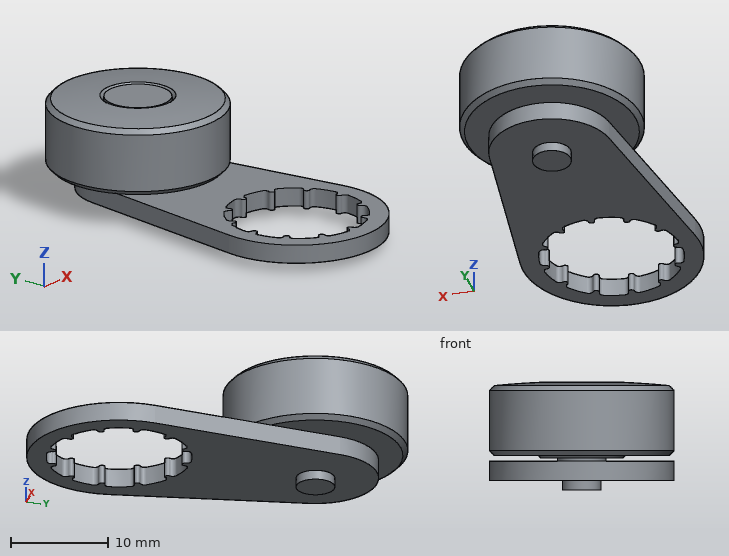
import cadquery as cq
import math

overall_length = 39.8
large_end_diameter = 19.0
large_end_radius = large_end_diameter / 2
center_distance = overall_length - large_end_diameter
small_end_radius = 6.5
plate_bottom = 1.0
plate_thickness = 2.0
plate_top = plate_bottom + plate_thickness

opening_radius = 7.5
lug_count = 12
lug_width = 0.65
lug_tip_radius = 6.7
lug_root_fillet = 0.48

knob_radius = large_end_radius
knob_chamfer = 0.5
knob_bottom = 3.55
knob_rim_top = 10.75
knob_top = 11.1
mouth_radius = 3.9
mouth_depth = 0.35
boss_radius = 4.2
boss_height = 0.25
boss_bottom = knob_bottom - boss_height

head_radius = 3.5
head_clearance = 0.048
head_height = 2.0
head_recess = 0.08
shank_radius = 2.5
tail_radius = 2.0

head_top = knob_top - head_recess
head_bottom = head_top - head_height


def cylinder(radius, bottom, top):
    """Upright cylinder on the pin axis."""
    return cq.Workplane("XY", origin=(0, 0, bottom)).circle(radius).extrude(top - bottom)


def make_lever_blank():
    """Two end circles joined by their common tangents, with the pin axis at the origin."""
    tangent_sine = (large_end_radius - small_end_radius) / center_distance
    tangent_cosine = math.sqrt(1 - tangent_sine**2)
    small_x = small_end_radius * tangent_cosine
    small_y = small_end_radius * tangent_sine
    large_x = large_end_radius * tangent_cosine
    large_y = large_end_radius * tangent_sine - center_distance
    return (
        cq.Workplane("XY", origin=(0, 0, plate_bottom))
        .moveTo(-small_x, small_y)
        .threePointArc((0, small_end_radius), (small_x, small_y))
        .lineTo(large_x, large_y)
        .threePointArc((0, -center_distance - large_end_radius), (-large_x, large_y))
        .close()
        .extrude(plate_thickness)
    )


def make_lug():
    """Lug on the +X side of the opening: a radial bar with a rounded inner tip."""
    tip_center = lug_tip_radius + lug_width / 2
    bar_length = opening_radius + lug_width - tip_center
    base = cq.Workplane("XY", origin=(0, 0, plate_bottom))
    bar = base.center(tip_center + bar_length / 2, 0).rect(bar_length, lug_width).extrude(plate_thickness)
    tip = base.center(tip_center, 0).circle(lug_width / 2).extrude(plate_thickness)
    return bar.union(tip)


def make_opening():
    """Cutter for the splined opening: a disc notched by the lugs, rounded beside each lug root."""
    opening = cylinder(opening_radius, plate_bottom, plate_top)
    lug = make_lug()
    for index in range(lug_count):
        opening = opening.cut(lug.rotate((0, 0, 0), (0, 0, 1), index * 360 / lug_count))
    root_limit = opening_radius - lug_width / 2

    def is_lug_root(edge):
        return math.hypot(edge.Center().x, edge.Center().y) > root_limit

    root_edges = opening.edges("|Z").filter(is_lug_root)
    return root_edges.fillet(lug_root_fillet).translate((0, -center_distance, 0))


def make_plate():
    """Lever with the splined opening and a hole that fits the pin tail."""
    tail_hole = cylinder(tail_radius, plate_bottom, plate_top)
    return make_lever_blank().cut(make_opening()).cut(tail_hole)


def make_knob():
    """Turned knob with a stepped bore that clears the pin head and flares at the mouth."""
    rim_radius = knob_radius - knob_chamfer
    dome_radius = (rim_radius**2 - mouth_radius**2) / (2 * (knob_top - knob_rim_top))
    bore_edge = knob_top - mouth_depth
    bore_radius = head_radius + head_clearance
    return (
        cq.Workplane("XZ")
        .moveTo(shank_radius, boss_bottom)
        .lineTo(boss_radius, boss_bottom)
        .lineTo(boss_radius + boss_height, knob_bottom)
        .lineTo(rim_radius, knob_bottom)
        .lineTo(knob_radius, knob_bottom + knob_chamfer)
        .lineTo(knob_radius, knob_rim_top - knob_chamfer)
        .lineTo(rim_radius, knob_rim_top)
        .radiusArc((mouth_radius, knob_top), -dome_radius)
        .lineTo(bore_radius, bore_edge)
        .lineTo(bore_radius, head_bottom)
        .lineTo(shank_radius, head_bottom)
        .close()
        .revolve(360, (0, 0, 0), (0, 1, 0))
    )


def make_pin():
    """Headed pin: tail through the plate, shank resting on the plate, head sunk in the knob."""
    tail = cylinder(tail_radius, 0, plate_top)
    shank = cylinder(shank_radius, plate_top, head_bottom)
    head = cylinder(head_radius, head_bottom, head_top)
    return tail.union(shank).union(head)


plate = make_plate()
knob = make_knob()
pin = make_pin()
result = cq.Compound.makeCompound([plate.val(), knob.val(), pin.val()])